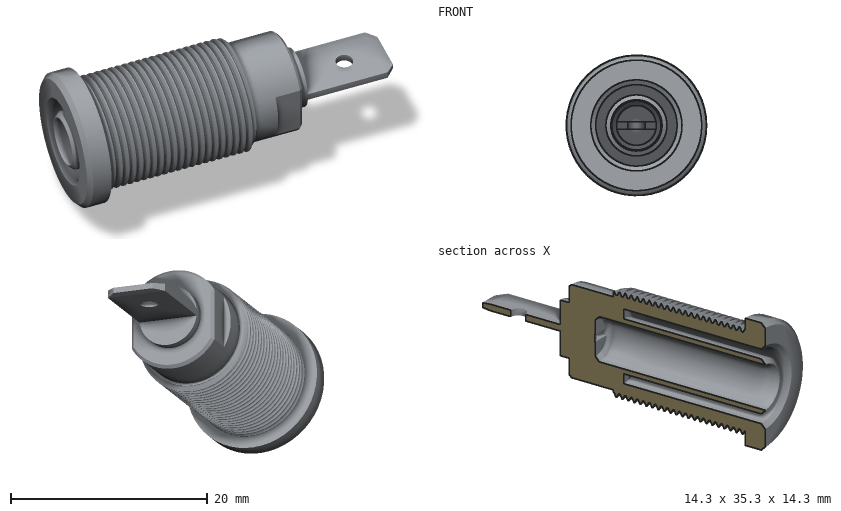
import cadquery as cq

TOTAL_LENGTH = 35.3

FLANGE_DIAMETER = 14.3
FLANGE_LENGTH = 2.5
MOUTH_CHAMFER = 0.5

THREAD_END = 19.0
THREAD_DIAMETER = 12.0
THREAD_ROOT_DIAMETER = 11.0
THREAD_TURNS = 22
THREAD_PITCH = (THREAD_END - FLANGE_LENGTH) / THREAD_TURNS
THREAD_BASE_WIDTH = 0.95 * THREAD_PITCH
THREAD_CREST_WIDTH = 0.12 * THREAD_PITCH
THREAD_START = 1.9
THREAD_OVERLAP = 0.07
THREAD_END_CHAMFER = 0.32

BODY_DIAMETER = 10.5
BODY_END = 24.5
BODY_CHAMFER = 0.32
FLATS_START = 21.5
FLATS_WIDTH = 9.05

RECESS_DIAMETER = 8.3
RECESS_DEPTH = 17.65

CONTACT_DIAMETER = 6.2
BORE_DIAMETER = 5.0
BORE_FLOOR_DIAMETER = 4.05
BORE_DEPTH = 21.18
TIP_WALL = (CONTACT_DIAMETER - BORE_DIAMETER) / 2 - MOUTH_CHAMFER

COLLAR_DIAMETER = 6.3
COLLAR_END = 25.6
TAB_WIDTH = COLLAR_DIAMETER
TAB_THICKNESS = 0.78
TAB_TIP_LENGTH = 1.0
TAB_TIP_THICKNESS = 0.55
TAB_HOLE_DIAMETER = 1.8
TAB_HOLE_Y = 30.8

SLOT_DEPTH = 1.0
NOSE_DIAMETER = 1.8


def cylinder(diameter, start, end):
    """Solid cylinder on the Y axis from y = start to y = end."""
    plane = cq.Workplane("XZ", origin=(0, start, 0))
    return plane.circle(diameter / 2).extrude(start - end)


def box(width, start, end, height):
    """Box centred on the Y axis from y = start to y = end."""
    middle = (start + end) / 2
    return cq.Workplane("XY", origin=(0, middle, 0)).box(width, end - start, height)


def upright_disc(diameter, y):
    """Disc as thick as the tab, with its axis along Z."""
    plane = cq.Workplane("XY", origin=(0, y, -TAB_THICKNESS / 2))
    return plane.circle(diameter / 2).extrude(TAB_THICKNESS)


def make_thread():
    """Right-hand helical ridge, trimmed to the chamfered end of the sleeve."""
    root_radius = THREAD_ROOT_DIAMETER / 2
    inner_radius = root_radius - THREAD_OVERLAP
    crest_radius = THREAD_DIAMETER / 2
    helix_height = (THREAD_TURNS + 1) * THREAD_PITCH
    helix = cq.Wire.makeHelix(THREAD_PITCH, helix_height, root_radius)
    half_base = THREAD_BASE_WIDTH / 2
    half_crest = THREAD_CREST_WIDTH / 2
    ridge = (
        cq.Workplane("XZ")
        .polyline([
            (inner_radius, -half_base),
            (crest_radius, -half_crest),
            (crest_radius, half_crest),
            (inner_radius, half_base),
        ])
        .close()
        .sweep(cq.Workplane(obj=helix), isFrenet=True)
        .rotate((0, 0, 0), (1, 0, 0), -90)
        .translate((0, THREAD_START, 0))
    )
    envelope_diameter = THREAD_DIAMETER + 2 * THREAD_OVERLAP
    envelope = cylinder(envelope_diameter, 0, THREAD_END)
    envelope = envelope.faces(">Y").chamfer(THREAD_END_CHAMFER + THREAD_OVERLAP)
    return ridge.intersect(envelope)


def make_body():
    """Flange, threaded sleeve and flatted rear body, still without cavities."""
    flange = cylinder(FLANGE_DIAMETER, 0, FLANGE_LENGTH).faces("<Y").chamfer(MOUTH_CHAMFER)
    sleeve = cylinder(THREAD_ROOT_DIAMETER, 0, THREAD_END)
    rear = cylinder(BODY_DIAMETER, 0, BODY_END).faces(">Y").chamfer(BODY_CHAMFER)
    rear_limit = box(FLATS_WIDTH, FLATS_START, BODY_END, BODY_DIAMETER)
    rear_limit = rear_limit.faces(">Y").edges("|Z").chamfer(BODY_CHAMFER)
    rear = rear.intersect(cylinder(BODY_DIAMETER, 0, FLATS_START).union(rear_limit))
    return sleeve.union(make_thread()).union(flange).union(rear)


def make_cavities():
    """Annular recess and stepped contact bore, revolved around the Y axis."""
    recess_radius = RECESS_DIAMETER / 2
    contact_radius = CONTACT_DIAMETER / 2
    bore_radius = BORE_DIAMETER / 2
    floor_radius = BORE_FLOOR_DIAMETER / 2
    cone_length = bore_radius - floor_radius
    recess = [
        (bore_radius + TIP_WALL, 0),
        (contact_radius, MOUTH_CHAMFER),
        (contact_radius, RECESS_DEPTH),
        (recess_radius, RECESS_DEPTH),
        (recess_radius, MOUTH_CHAMFER),
        (recess_radius + MOUTH_CHAMFER, 0),
    ]
    bore = [
        (0, 0),
        (bore_radius, 0),
        (bore_radius, BORE_DEPTH - cone_length),
        (floor_radius, BORE_DEPTH),
        (0, BORE_DEPTH),
    ]
    cavities = cq.Workplane("XY")
    for outline in (recess, bore):
        ring = cq.Workplane("XY").polyline(outline).close()
        cavities = cavities.add(ring.revolve(360, (0, 0, 0), (0, 1, 0)))
    return cavities.combine()


def make_floor_slot():
    """Cutter for the slot across the bore floor, leaving the rounded nose."""
    slot_end = BORE_DEPTH + SLOT_DEPTH
    slot = box(BORE_FLOOR_DIAMETER, BORE_DEPTH, slot_end, TAB_THICKNESS)
    slot = slot.intersect(cylinder(BORE_FLOOR_DIAMETER, BORE_DEPTH, slot_end))
    return slot.cut(upright_disc(NOSE_DIAMETER, slot_end))


def make_tab():
    """Flat tab with tapered tip and a through hole."""
    half_width = TAB_WIDTH / 2
    tip_start = TOTAL_LENGTH - TAB_TIP_LENGTH
    half_tip_width = half_width - TAB_TIP_LENGTH
    outline = (
        cq.Workplane("XY")
        .polyline([
            (-half_width, COLLAR_END),
            (half_width, COLLAR_END),
            (half_width, tip_start),
            (half_tip_width, TOTAL_LENGTH),
            (-half_tip_width, TOTAL_LENGTH),
            (-half_width, tip_start),
        ])
        .close()
        .extrude(TAB_THICKNESS / 2, both=True)
    )
    half_thickness = TAB_THICKNESS / 2
    half_tip_thickness = TAB_TIP_THICKNESS / 2
    side_profile = (
        cq.Workplane("YZ")
        .polyline([
            (COLLAR_END, -half_thickness),
            (tip_start, -half_thickness),
            (TOTAL_LENGTH, -half_tip_thickness),
            (TOTAL_LENGTH, half_tip_thickness),
            (tip_start, half_thickness),
            (COLLAR_END, half_thickness),
        ])
        .close()
        .extrude(half_width, both=True)
    )
    return outline.intersect(side_profile).cut(upright_disc(TAB_HOLE_DIAMETER, TAB_HOLE_Y))


collar = cylinder(COLLAR_DIAMETER, BODY_END, COLLAR_END)
result = make_body().cut(make_cavities()).cut(make_floor_slot())
result = result.union(collar).union(make_tab())